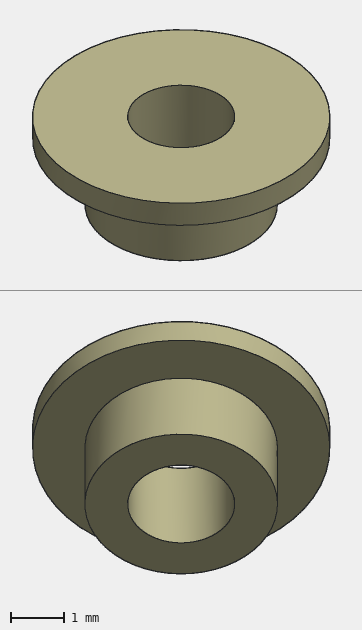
import cadquery as cq

flange_diameter = 5.56
sleeve_diameter = 3.6
bore_diameter = 2.0
total_height = 2.03
flange_thickness = 0.51
sleeve_length = total_height - flange_thickness


def make_sleeve():
    """Cylindrical sleeve standing on the XY plane."""
    return cq.Workplane("XY").circle(sleeve_diameter / 2).extrude(sleeve_length)


def add_flange(body):
    """Wide flange on top of the sleeve."""
    return body.faces(">Z").workplane().circle(flange_diameter / 2).extrude(flange_thickness)


def cut_bore(body):
    """Through bore along the Z axis."""
    return body.faces(">Z").workplane().circle(bore_diameter / 2).cutThruAll()


result = cut_bore(add_flange(make_sleeve()))